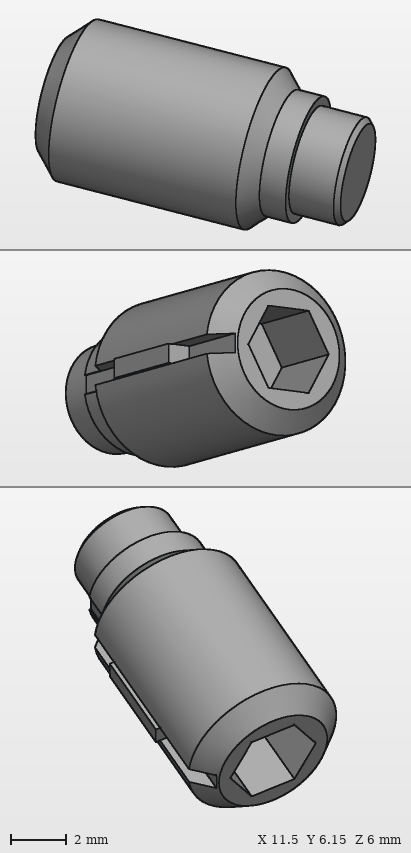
import cadquery as cq
import math

length = 11.5
body_radius = 3.0
neck_radius = 2.35
nose_diameter = 4.0
nose_radius = nose_diameter / 2
rear_chamfer = 0.8
front_chamfer = body_radius - neck_radius
nose_chamfer = 0.2
neck_start = 8.6
neck_end = 9.6

hex_across_flats = 3.0
hex_sides = 6
hex_across_corners = hex_across_flats / math.cos(math.pi / hex_sides)
socket_depth = 3.0

insert_start = 3.0
insert_end = 6.5
insert_width = 0.7
insert_top = 3.15
groove_floor = 2.25


def make_body():
    """Revolve the stepped half-profile around the X axis."""
    return (
        cq.Workplane("XY")
        .lineTo(0, body_radius - rear_chamfer)
        .lineTo(rear_chamfer, body_radius)
        .lineTo(neck_start - front_chamfer, body_radius)
        .lineTo(neck_start, neck_radius)
        .lineTo(neck_end, neck_radius)
        .lineTo(neck_end, nose_radius)
        .lineTo(length - nose_chamfer, nose_radius)
        .lineTo(length, nose_radius - nose_chamfer)
        .lineTo(length, 0)
        .close()
        .revolve(360, (0, 0, 0), (1, 0, 0))
    )


def make_side_block(start, end, top):
    """Block of the groove's width, standing on the groove floor."""
    return cq.Workplane("XY").box(
        end - start, top - groove_floor, insert_width, centered=(False, False, True)
    ).translate((start, groove_floor, 0))


socket = cq.Workplane("YZ").polygon(hex_sides, hex_across_corners).extrude(socket_depth)
groove = make_side_block(0, length, insert_top)
insert = make_side_block(insert_start, insert_end, insert_top)

result = make_body().cut(socket).cut(groove).union(insert)